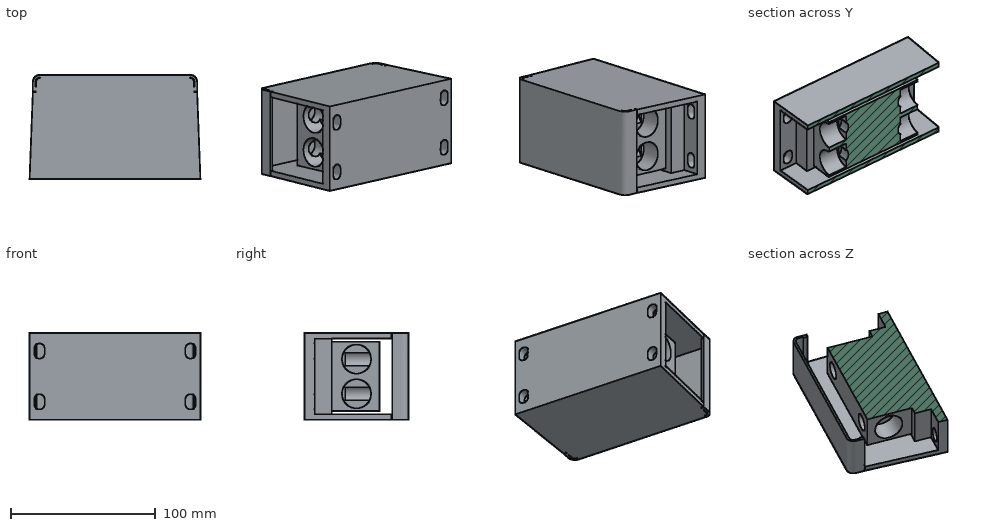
import cadquery as cq

length = 118.0
depth = 72.0
height = 60.0

front_wall = 7.1
plate = 3.9
shoulder_y = 60.1
shoulder_half = 56.8

sheet = 2.0
cover_gap = 0.5
cover_corner = 5.0
bead_radius = 1.8
bead_crest = 53.8

slot_width = 7.1
slot_length = 10.5
slot_spacing_x = 104.2
slot_spacing_z = 35.0

pedestal_length = 89.7
pedestal_top = 19.0
block_length = 78.0
block_height = 47.9
block_top = 51.9

terminal_spacing = 24.0
wire_radius = 10.0
wire_depth = 15.0
screw_radius = 6.0
screw_inset = 11.0
screw_floor = 28.2

mid_z = height / 2
cover_edge = shoulder_y + cover_gap
cover_inner_half = shoulder_half - sheet
cover_inner_y = depth - sheet
inner_corner = cover_corner - sheet
side_slope = (length / 2 - shoulder_half) / shoulder_y


def box_between(x_size, y_start, y_end, z_size):
    """Box centred on X and on mid height, spanning y_start to y_end."""
    y_size = y_end - y_start
    return cq.Workplane("XY").box(x_size, y_size, z_size).translate((0, y_start + y_size / 2, mid_z))


def make_tray():
    """Tapered tray whose plates step inward to fit under the cover."""
    tongue_base = shoulder_half - sheet
    tongue_tip = tongue_base - side_slope * (cover_inner_y - shoulder_y)
    outline = [
        (-length / 2, 0),
        (length / 2, 0),
        (shoulder_half, shoulder_y),
        (tongue_base, shoulder_y),
        (tongue_tip, cover_inner_y),
        (-tongue_tip, cover_inner_y),
        (-tongue_base, shoulder_y),
        (-shoulder_half, shoulder_y),
    ]
    tray = cq.Workplane("XY").polyline(outline).close().extrude(height)
    tray = tray.edges("|Z and >Y").fillet(inner_corner)
    return tray.cut(box_between(length, front_wall, depth, height - 2 * plate))


def make_cover():
    """U-shaped sheet with concentric corners and a rounded bead inside each free edge."""
    outer = box_between(2 * shoulder_half, cover_edge, depth, height)
    outer = outer.edges("|Z and >Y").fillet(cover_corner)
    inner = box_between(2 * cover_inner_half, cover_edge, cover_inner_y, height)
    inner = inner.edges("|Z and >Y").fillet(inner_corner)
    bead_x = bead_crest + bead_radius
    bead_points = [(side * bead_x, cover_edge + bead_radius) for side in (-1, 1)]
    beads = cq.Workplane("XY").pushPoints(bead_points).circle(bead_radius).extrude(height)
    return outer.cut(inner).union(beads.intersect(outer))


def make_slots():
    """Four upright slots through the front wall."""
    return (
        cq.Workplane("XZ", origin=(0, 0, mid_z))
        .rarray(slot_spacing_x, slot_spacing_z, 2, 2)
        .slot2D(slot_length, slot_width, 90)
        .extrude(-front_wall)
    )


def make_terminal_block():
    """Pedestal and block, with two wire holes and two screw holes at each end."""
    block = box_between(pedestal_length, front_wall, pedestal_top, height - 2 * plate)
    block = block.union(box_between(block_length, pedestal_top, block_top, block_height))
    screw_depth = block_top - screw_floor
    toward_cover = cq.Vector(0, 1, 0)
    for side in (-1, 1):
        for row in (-1, 1):
            z = mid_z + row * terminal_spacing / 2
            face_x = side * block_length / 2
            wire_start = cq.Vector(face_x, depth / 2, z)
            inward = cq.Vector(-side, 0, 0)
            block = block.cut(cq.Solid.makeCylinder(wire_radius, wire_depth, wire_start, inward))
            screw_start = cq.Vector(face_x - side * screw_inset, screw_floor, z)
            block = block.cut(cq.Solid.makeCylinder(screw_radius, screw_depth, screw_start, toward_cover))
    return block


result = make_tray().cut(make_slots()).union(make_cover()).union(make_terminal_block())